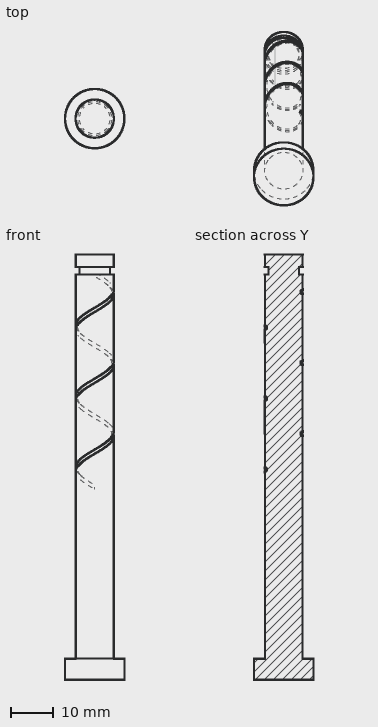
import cadquery as cq

total_length = 100.0
head_diameter = 14.0
head_thickness = 5.0
shaft_diameter = 9.0

ring_groove_diameter = 7.2
ring_groove_width = 1.7
end_collar_length = 3.0

oil_groove_radius = 0.5
helix_turns = 3
helix_height = 50.0
helix_start_angle = 90.0

shaft_radius = shaft_diameter / 2
ring_groove_bottom_z = total_length - end_collar_length - ring_groove_width
helix_pitch = helix_height / helix_turns
helix_start_z = ring_groove_bottom_z - helix_height


def make_pin_body():
    """Headed cylindrical pin standing on its head."""
    head = cq.Workplane("XY").circle(head_diameter / 2).extrude(head_thickness)
    shaft = cq.Workplane("XY").circle(shaft_radius).extrude(total_length)
    return head.union(shaft)


def make_ring_groove():
    """Annular cutter for the retaining-ring groove."""
    return (
        cq.Workplane("XY")
        .workplane(offset=ring_groove_bottom_z)
        .circle(head_diameter / 2)
        .circle(ring_groove_diameter / 2)
        .extrude(ring_groove_width)
    )


def make_oil_groove():
    """Right-handed helical cutter with a round section, centred on the shaft surface."""
    path = cq.Wire.makeHelix(helix_pitch, helix_height, shaft_radius)
    section = cq.Workplane("XZ").center(shaft_radius, 0).circle(oil_groove_radius)
    cutter = section.sweep(cq.Workplane(obj=path), isFrenet=True)
    turned = cutter.rotate((0, 0, 0), (0, 0, 1), helix_start_angle)
    return turned.translate((0, 0, helix_start_z))


result = make_pin_body().cut(make_ring_groove()).cut(make_oil_groove())